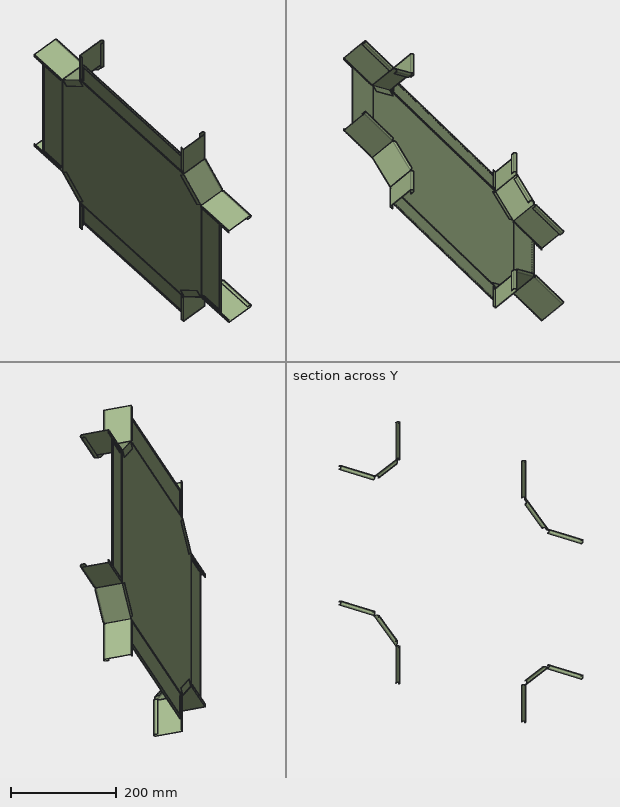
import cadquery as cq
import math


half_span = 277.0
wall_height = 57.0
sheet = 1.0

half_width = 148.0
corner_cut = 50.0
half_floor = half_width + corner_cut
cut_ends = (half_width, half_floor), (half_floor, half_width)

foot_width = 7.0
corner_foot_width = 15.0
corner_foot_inset = 2.0
foot_start = 203.0
hook_width = 8.0
hook_depth = 9.5
hook_start = 199.5

flap_lift = 2 * sheet
flap_half_width = 139.0
flap_end = 254.0
root_end = 203.5
root_half_width = 142.0
hem_length = 5.5


def strip_plane(start, end):
    """Plane at start facing end; its x runs to the inside of the wall, its y along +Y."""
    along = cq.Vector(end[0] - start[0], 0, end[1] - start[1]).normalized()
    inward = cq.Vector(0, 1, 0).cross(along)
    return cq.Plane(origin=(start[0], 0, start[1]), xDir=inward, normal=along)


def distance(start, end):
    return math.hypot(end[0] - start[0], end[1] - start[1])


def foot_strip(start, end, width):
    """Flat foot turned inwards along the bottom edge of a wall."""
    return (
        cq.Workplane(strip_plane(start, end))
        .rect(width, sheet, centered=False)
        .extrude(distance(start, end))
    )


def hook_strip(start, end):
    """Top edge of a wall rolled inwards through half a turn."""
    radius = hook_width / 2
    roll_base = wall_height - radius
    tip = wall_height - hook_depth
    return (
        cq.Workplane(strip_plane(start, end))
        .moveTo(0, tip)
        .lineTo(0, roll_base)
        .threePointArc((radius, wall_height), (hook_width, roll_base))
        .lineTo(hook_width, tip)
        .lineTo(hook_width - sheet, tip)
        .lineTo(hook_width - sheet, roll_base)
        .threePointArc((radius, wall_height - sheet), (sheet, roll_base))
        .lineTo(sheet, tip)
        .close()
        .extrude(distance(start, end))
    )


def corner_hook():
    """Hook of the diagonal wall, its ends cut back at 45 degrees."""
    cut_back = (
        cq.Workplane("XZ")
        .polyline([*cut_ends, (half_width, half_width)])
        .close()
        .extrude(-wall_height)
    )
    return hook_strip(*cut_ends).intersect(cut_back)


def corner_foot():
    """Foot of the diagonal wall, set in from both ends of the wall."""
    inset = corner_foot_inset * math.sqrt(0.5)
    start = half_width + inset, half_floor - inset
    end = half_floor - inset, half_width + inset
    return foot_strip(start, end, corner_foot_width)


def bent_wall():
    """Arm wall, diagonal wall and arm wall as one bent sheet."""
    inner_width = half_width - sheet
    inner_bend = half_floor - sheet * math.tan(math.pi / 8)
    outline = [
        (half_span, half_width),
        (half_floor, half_width),
        (half_width, half_floor),
        (half_width, half_span),
        (inner_width, half_span),
        (inner_width, inner_bend),
        (inner_bend, inner_width),
        (half_span, inner_width),
    ]
    wall_top = wall_height - hook_width / 2
    return (
        cq.Workplane("XZ")
        .polyline(outline)
        .close()
        .extrude(-wall_top)
    )


def corner_bracket():
    """Bracket at the +X +Z corner."""
    bracket = bent_wall()
    bracket = bracket.union(foot_strip((foot_start, half_width), (half_span, half_width), foot_width))
    bracket = bracket.union(corner_foot())
    bracket = bracket.union(foot_strip((half_width, half_span), (half_width, foot_start), foot_width))
    bracket = bracket.union(hook_strip((hook_start, half_width), (half_span, half_width)))
    bracket = bracket.union(corner_hook())
    bracket = bracket.union(hook_strip((half_width, half_span), (half_width, hook_start)))
    return bracket


def floor_flap():
    """Flap on the +X side: riser, wide root, raised flat and open hem."""
    flap_top = flap_lift + sheet
    hem_radius = flap_top / 2
    hem_centre = flap_end - hem_radius
    hem_tip = flap_end - hem_length
    riser_inside = half_floor - sheet
    flap = (
        cq.Workplane("XY")
        .moveTo(riser_inside, 0)
        .lineTo(half_floor, 0)
        .lineTo(half_floor, flap_lift)
        .lineTo(hem_centre, flap_lift)
        .threePointArc((flap_end - sheet, hem_radius), (hem_centre, sheet))
        .lineTo(hem_tip, sheet)
        .lineTo(hem_tip, 0)
        .lineTo(hem_centre, 0)
        .threePointArc((flap_end, hem_radius), (hem_centre, flap_top))
        .lineTo(riser_inside, flap_top)
        .close()
        .extrude(root_half_width, both=True)
    )
    trim_length = flap_end - root_end
    trim_width = root_half_width - flap_half_width
    for side in (-1, 1):
        trim = cq.Workplane("XY").box(trim_length, 2 * flap_top, trim_width)
        trim_z = side * (flap_half_width + trim_width / 2)
        flap = flap.cut(trim.translate((root_end + trim_length / 2, 0, trim_z)))
    return flap


def tray_floor():
    """Octagonal floor with four flaps, recessed for the diagonal feet."""
    half_flat = half_floor - sheet
    floor = cq.Workplane("XY").box(2 * half_flat, sheet, 2 * half_flat)
    floor = floor.edges("|Y").chamfer(corner_cut - sheet).translate((0, sheet / 2, 0))
    recess = corner_foot().union(foot_strip(*cut_ends, sheet))
    flap = floor_flap()
    for quarter in range(4):
        floor = floor.union(flap.rotate((0, 0, 0), (0, 1, 0), 90 * quarter))
        floor = floor.cut(recess.rotate((0, 0, 0), (0, 1, 0), 90 * quarter))
    return floor


floor = tray_floor()
bracket = corner_bracket()
brackets = [bracket.rotate((0, 0, 0), (0, 1, 0), 90 * quarter).val() for quarter in range(4)]

result = cq.Compound.makeCompound([floor.val(), *brackets])